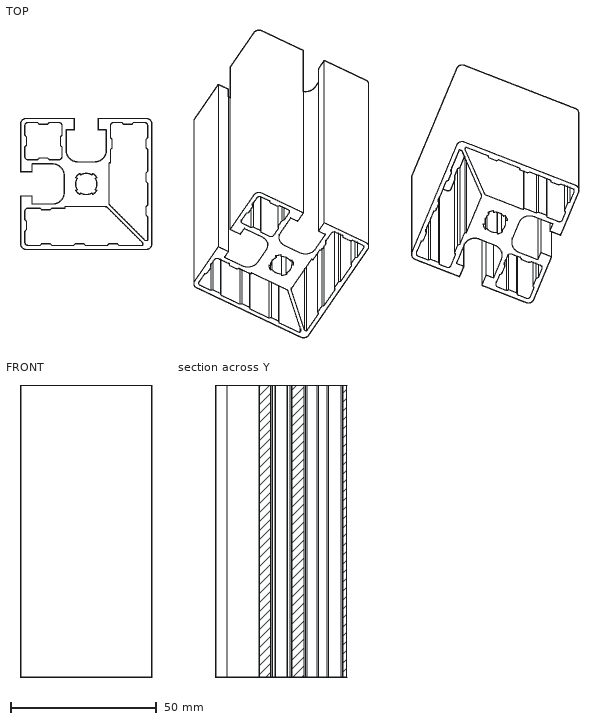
import cadquery as cq
import math

SIDE = 45.0
LENGTH = 100.0
HALF = SIDE / 2
CORNER_RADIUS = 2.0
WALL = 1.5

SLOT_OPENING = 8.2
SLOT_LIP = 4.0
SLOT_WIDTH = 13.7
SLOT_FLOOR = 7.6
SLOT_FLOOR_RADIUS = 3.9

INNER = HALF - WALL
PARTITION = SLOT_WIDTH / 2 + WALL
CORE_HALF = 7.8
CORE_STEP = 7.2
CORE_CORNER_RADIUS = 1.0
CHAMBER_RADIUS = 1.0
WEB_THICKNESS = 1.2
WEB_END = 19.3

PAD_CREST_WIDTH = 2.9
PAD_HEIGHT = 0.55
PAD_FIRST = 13.8
PAD_PITCH = 11.5
LONG_WALL_PADS = 3
END_PAD = 14.2

BORE_DIAMETER = 7.2
RELIEF_DIAMETER = 8.4
RELIEF_HALF_ANGLE = 13.0
RELIEF_COUNT = 4


def mirrored(solid):
    """Mirror a solid across the plane y = -x, the profile's plane of symmetry."""
    return solid.rotate((0, 0, 0), (0, 0, 1), 90).mirror("XZ")


def block(x_min, x_max, y_min, y_max):
    """Full-length rectangular prism between the given limits."""
    return (
        cq.Workplane("XY")
        .center((x_min + x_max) / 2, (y_min + y_max) / 2)
        .rect(x_max - x_min, y_max - y_min)
        .extrude(LENGTH)
    )


def pad_on_x_wall(wall_x, inward, y):
    """Pad on a wall of constant x, rising in the direction `inward` (+1 or -1)."""
    crest_x = wall_x + inward * PAD_HEIGHT
    half_crest = PAD_CREST_WIDTH / 2
    half_base = half_crest + PAD_HEIGHT
    return (
        cq.Workplane("XY")
        .moveTo(wall_x, y - half_base)
        .lineTo(crest_x, y - half_crest)
        .lineTo(crest_x, y + half_crest)
        .lineTo(wall_x, y + half_base)
        .close()
        .extrude(LENGTH)
    )


def pad_on_y_wall(wall_y, inward, x):
    """Pad on a wall of constant y, rising in the direction `inward` (+1 or -1)."""
    return mirrored(pad_on_x_wall(-wall_y, -inward, -x))


def top_slot():
    """T-slot open towards +Y."""
    half_opening = SLOT_OPENING / 2
    half_width = SLOT_WIDTH / 2
    lip_y = HALF - SLOT_LIP
    channel = block(-half_width, half_width, SLOT_FLOOR, lip_y)
    channel = channel.edges("|Z and <Y").fillet(SLOT_FLOOR_RADIUS)
    return channel.union(block(-half_opening, half_opening, lip_y, HALF))


def square_chamber():
    """Square chamber in the corner between the two slots, one pad per wall."""
    chamber = block(-INNER, -PARTITION, PARTITION, INNER).edges("|Z").fillet(CHAMBER_RADIUS)
    middle = (INNER + PARTITION) / 2
    for wall, inward in ((-INNER, 1), (-PARTITION, -1)):
        chamber = chamber.cut(pad_on_x_wall(wall, inward, middle))
    for wall, inward in ((PARTITION, 1), (INNER, -1)):
        chamber = chamber.cut(pad_on_y_wall(wall, inward, -middle))
    return chamber


def side_chamber():
    """Long chamber along the +X wall, closed below by the diagonal web."""
    web_offset = WEB_THICKNESS / math.sqrt(2)
    chamber = (
        cq.Workplane("XY")
        .moveTo(PARTITION, INNER)
        .lineTo(PARTITION, CORE_STEP)
        .lineTo(CORE_HALF, CORE_STEP)
        .lineTo(CORE_HALF, web_offset - CORE_HALF)
        .lineTo(WEB_END + web_offset, -WEB_END)
        .lineTo(INNER, -WEB_END)
        .lineTo(INNER, INNER)
        .close()
        .extrude(LENGTH)
    )
    core_corner = cq.selectors.NearestToPointSelector((CORE_HALF, web_offset - CORE_HALF, LENGTH / 2))
    chamber = chamber.edges("|Z and >Y").fillet(CHAMBER_RADIUS)
    chamber = chamber.edges(core_corner).fillet(CORE_CORNER_RADIUS)
    for index in range(LONG_WALL_PADS):
        chamber = chamber.cut(pad_on_x_wall(INNER, -1, PAD_FIRST - index * PAD_PITCH))
    chamber = chamber.cut(pad_on_x_wall(PARTITION, 1, PAD_FIRST))
    return chamber.cut(pad_on_y_wall(INNER, -1, END_PAD))


def core_hole():
    """Round bore with four diagonal reliefs whose sides are radial."""
    radius = RELIEF_DIAMETER / 2
    half_angle = math.radians(RELIEF_HALF_ANGLE)
    reach_x = radius * math.cos(half_angle)
    reach_y = radius * math.sin(half_angle)
    relief = (
        cq.Workplane("XY")
        .lineTo(reach_x, -reach_y)
        .threePointArc((radius, 0), (reach_x, reach_y))
        .close()
        .extrude(LENGTH)
    )
    hole = cq.Workplane("XY").circle(BORE_DIAMETER / 2).extrude(LENGTH)
    step = 360 / RELIEF_COUNT
    for index in range(RELIEF_COUNT):
        hole = hole.union(relief.rotate((0, 0, 0), (0, 0, 1), step * (index + 0.5)))
    return hole


body = block(-HALF, HALF, -HALF, HALF).edges("|Z").fillet(CORNER_RADIUS)
for cutter in (top_slot(), side_chamber()):
    body = body.cut(cutter).cut(mirrored(cutter))
result = body.cut(square_chamber()).cut(core_hole())